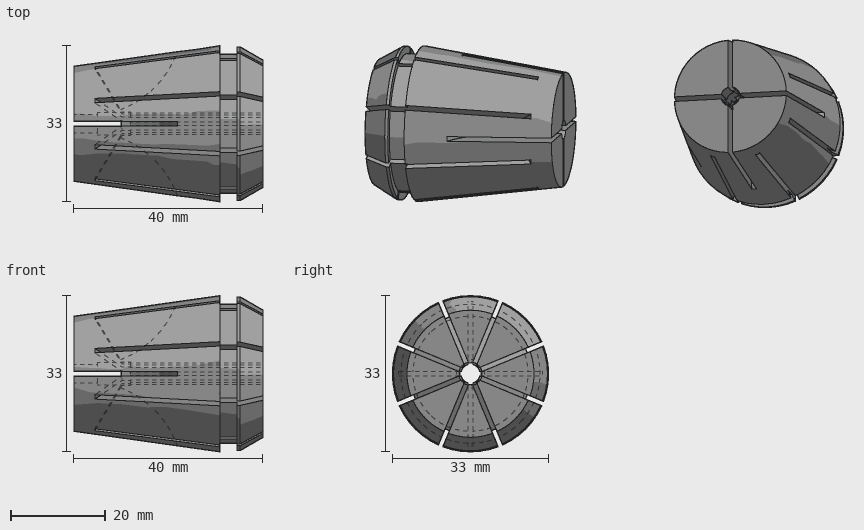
import cadquery as cq
import math

total_length = 40.0

seat_large_radius = 16.5
seat_length = 30.85
seat_half_angle = 8.0
groove_radius = 14.7
groove_width = 3.6
head_radius = 16.25
head_land_width = 0.65
head_half_angle = 30.0

tip_bore_radius = 2.0
tip_bore_length = 5.0
relief_radius = 2.45
relief_end_x = 12.0
rear_bore_radius = 2.25

slot_width = 1.0
front_slot_count = 4
front_slot_full_length = 10.0
front_saw_radius = 20.5
front_saw_center_x = 2.55
front_slot_inner_radius = 3.0
rear_slot_count = 8
rear_slot_start_x = 4.46
rear_slot_ramp_angle = 61.0

overshoot = 5.0


def seat_radius(x):
    """Radius of the tapered seat at a distance x from the small end."""
    return seat_large_radius - (seat_length - x) * math.tan(math.radians(seat_half_angle))


def make_body():
    """Tapered seat, extraction groove and bevelled head, revolved about X."""
    groove_end_x = seat_length + groove_width
    bevel_start_x = groove_end_x + head_land_width
    bevel_length = total_length - bevel_start_x
    end_radius = head_radius - bevel_length * math.tan(math.radians(head_half_angle))
    profile = [
        (0, 0),
        (0, seat_radius(0)),
        (seat_length, seat_large_radius),
        (seat_length, groove_radius),
        (groove_end_x, groove_radius),
        (groove_end_x, head_radius),
        (bevel_start_x, head_radius),
        (total_length, end_radius),
        (total_length, 0),
    ]
    return cq.Workplane("XZ").polyline(profile).close().revolve(360, (0, 0), (1, 0))


def bore_section(start_x, end_x, radius):
    """Cylinder about the X axis between two stations."""
    return cq.Workplane("YZ", origin=(start_x, 0, 0)).circle(radius).extrude(end_x - start_x)


def make_bore():
    """Tip bore, wider relief behind it, then the rear bore to the far end."""
    tip = bore_section(0, tip_bore_length, tip_bore_radius)
    relief = bore_section(tip_bore_length, relief_end_x, relief_radius)
    rear = bore_section(relief_end_x, total_length, rear_bore_radius)
    return tip.union(relief).union(rear)


def make_front_slot():
    """Slot towards +Z, open at the small end, whose floor curves out through the seat."""
    floor_offset_x = front_slot_full_length - front_saw_center_x
    floor_drop = math.sqrt(front_saw_radius**2 - floor_offset_x**2)
    saw_center_z = front_slot_inner_radius + floor_drop
    middle_angle = math.atan2(floor_offset_x, floor_drop) / 2 + math.pi / 4
    arc_middle = (
        front_saw_center_x + front_saw_radius * math.sin(middle_angle),
        saw_center_z - front_saw_radius * math.cos(middle_angle),
    )
    arc_end = (front_saw_center_x + front_saw_radius, saw_center_z)
    return (
        cq.Workplane("XZ", origin=(0, slot_width / 2, 0))
        .moveTo(-overshoot, 0)
        .lineTo(front_slot_full_length, 0)
        .lineTo(front_slot_full_length, front_slot_inner_radius)
        .threePointArc(arc_middle, arc_end)
        .lineTo(-overshoot, saw_center_z)
        .close()
        .extrude(slot_width)
    )


def make_rear_slot():
    """Slot towards +Z, open at the head end, ramping from the seat surface into the bore."""
    top_z = seat_large_radius + overshoot
    start_z = seat_radius(rear_slot_start_x)
    ramp_length = start_z / math.tan(math.radians(rear_slot_ramp_angle))
    outline = [
        (rear_slot_start_x, top_z),
        (rear_slot_start_x, start_z),
        (rear_slot_start_x + ramp_length, 0),
        (total_length + overshoot, 0),
        (total_length + overshoot, top_z),
    ]
    return (
        cq.Workplane("XZ", origin=(0, slot_width / 2, 0))
        .polyline(outline)
        .close()
        .extrude(slot_width)
    )


def cut_slots(body, slot, count, first_angle):
    """Cut copies of a slot evenly spaced about the X axis."""
    for index in range(count):
        angle = first_angle + index * 360 / count
        body = body.cut(slot.rotate((0, 0, 0), (1, 0, 0), angle))
    return body


rear_slot_first_angle = 180 / rear_slot_count

result = make_body().cut(make_bore())
result = cut_slots(result, make_front_slot(), front_slot_count, 0)
result = cut_slots(result, make_rear_slot(), rear_slot_count, rear_slot_first_angle)